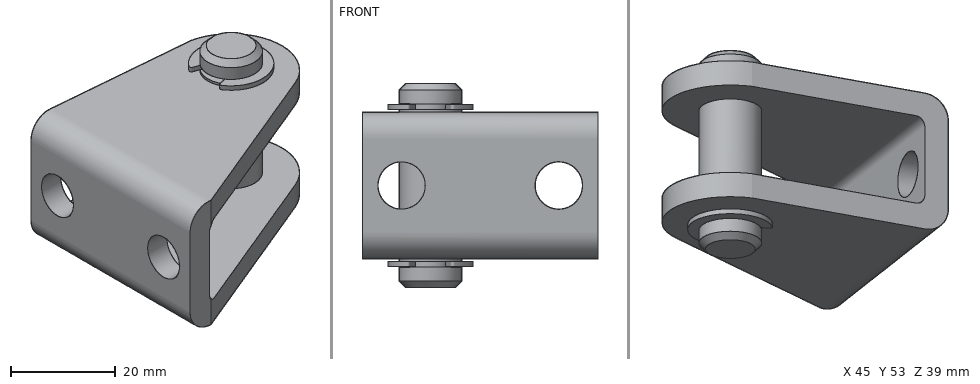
import cadquery as cq
import math

width = 45.0
bracket_height = 28.0
plate = 5.0
outer_bend_radius = 5.0
inner_bend_radius = 2.0
depth = 53.0
eye_radius = 13.1
eye_x = 13.0
eye_y = depth - eye_radius
slope_start_y = 5.4
mount_hole_diameter = 9.0
mount_hole_inset = 7.5

pin_x = eye_x
pin_y = 39.95

pin_diameter = 12.0
pin_length = 39.0
pin_chamfer = 1.25
groove_diameter = 8.0
groove_width = 1.1
groove_gap = 0.5

clip_diameter = 16.3
clip_thickness = 1.0
mouth_root_width = 5.8
mouth_flare = math.radians(15.0)
clip_tip_radius = 0.5

half_height = bracket_height / 2
groove_start = half_height + groove_gap


def make_bracket():
    """Bent U plate, trimmed to the cheek outline and drilled."""
    outside = (
        cq.Workplane("XY")
        .box(width, depth, bracket_height, centered=(False, False, True))
        .edges("|X and <Y")
        .fillet(outer_bend_radius)
    )
    inside = (
        cq.Workplane("XY", origin=(0, plate, 0))
        .box(width, depth, bracket_height - 2 * plate, centered=(False, False, True))
        .edges("|X and <Y")
        .fillet(inner_bend_radius)
    )

    corner_dx = width - eye_x
    corner_dy = slope_start_y - eye_y
    corner_angle = math.atan2(corner_dy, corner_dx)
    tangent_angle = corner_angle + math.acos(eye_radius / math.hypot(corner_dx, corner_dy))
    tangent_point = (
        eye_x + eye_radius * math.cos(tangent_angle),
        eye_y + eye_radius * math.sin(tangent_angle),
    )
    side_end_y = eye_y + math.sqrt(eye_radius ** 2 - eye_x ** 2)
    outline = (
        cq.Workplane("XY", origin=(0, 0, -half_height))
        .moveTo(0, 0)
        .lineTo(width, 0)
        .lineTo(width, slope_start_y)
        .lineTo(*tangent_point)
        .threePointArc((eye_x, depth), (0, side_end_y))
        .close()
        .extrude(bracket_height)
    )

    pin_hole = (
        cq.Workplane("XY", origin=(pin_x, pin_y, -half_height))
        .circle(pin_diameter / 2)
        .extrude(bracket_height)
    )
    mount_holes = (
        cq.Workplane("XZ")
        .pushPoints([(mount_hole_inset, 0), (width - mount_hole_inset, 0)])
        .circle(mount_hole_diameter / 2)
        .extrude(-plate)
    )
    return outside.cut(inside).intersect(outline).cut(pin_hole).cut(mount_holes).solids()


def make_pin():
    """Chamfered round pin with both retaining grooves."""
    pin = (
        cq.Workplane("XY", origin=(pin_x, pin_y, -pin_length / 2))
        .circle(pin_diameter / 2)
        .extrude(pin_length)
        .faces("<Z or >Z")
        .chamfer(pin_chamfer)
    )
    for groove_bottom in (groove_start, -groove_start - groove_width):
        groove = (
            cq.Workplane("XY", origin=(pin_x, pin_y, groove_bottom))
            .circle(pin_diameter / 2)
            .circle(groove_diameter / 2)
            .extrude(groove_width)
        )
        pin = pin.cut(groove)
    return pin.solids()


def make_clip(bottom_z):
    """Open ring seated in a pin groove, with rounded outer tips."""
    root_half = mouth_root_width / 2
    root_y = -math.sqrt((groove_diameter / 2) ** 2 - root_half ** 2)
    mouth_end_y = -clip_diameter / 2
    mouth_end_half = root_half + (root_y - mouth_end_y) * math.tan(mouth_flare)

    ring = (
        cq.Workplane("XY", origin=(pin_x, pin_y, bottom_z))
        .circle(clip_diameter / 2)
        .circle(groove_diameter / 2)
        .extrude(clip_thickness)
    )
    mouth = (
        cq.Workplane("XY", origin=(pin_x, pin_y, bottom_z))
        .moveTo(-root_half, root_y)
        .lineTo(-mouth_end_half, mouth_end_y)
        .lineTo(mouth_end_half, mouth_end_y)
        .lineTo(root_half, root_y)
        .lineTo(0, 0)
        .close()
        .extrude(clip_thickness)
    )
    outer_tips = cq.selectors.BoxSelector(
        (pin_x - clip_diameter, pin_y - clip_diameter, bottom_z),
        (pin_x + clip_diameter, pin_y - groove_diameter / 2, bottom_z + clip_thickness),
    )
    return ring.cut(mouth).edges("|Z").edges(outer_tips).fillet(clip_tip_radius).solids()


bracket = make_bracket()
pin = make_pin()
clips = [make_clip(z) for z in (groove_start, -groove_start - clip_thickness)]

result = cq.Compound.makeCompound(
    [bracket.val(), pin.val(), *[clip.val() for clip in clips]]
)